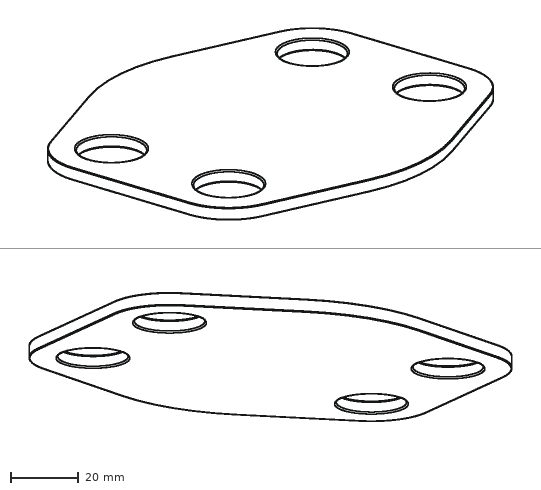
import math

import cadquery as cq

plate_width = 113.7
plate_length = 135.0
plate_thickness = 4.0
hole_spacing_x = 44.5
hole_spacing_y = 96.8
hole_diameter = 21.0
hole_chamfer = 0.5
outline_chamfer = 0.25

hole_radius = hole_diameter / 2
middle_radius = plate_width / 2
corner_x = hole_spacing_x / 2
corner_y = hole_spacing_y / 2
corner_radius = plate_length / 2 - corner_y

corner_distance = math.hypot(corner_x, corner_y)
corner_direction = math.atan2(corner_y, corner_x)
flank_angle = corner_direction - math.acos((middle_radius - corner_radius) / corner_distance)
corner_mid_angle = (flank_angle + math.pi / 2) / 2


def arc_point(center_x, center_y, radius, angle):
    """Point on an arc at the given angle from +X."""
    return (center_x + radius * math.cos(angle), center_y + radius * math.sin(angle))


def middle_point(angle):
    """Point on the middle arc, centred on the origin."""
    return arc_point(0, 0, middle_radius, angle)


def corner_point(angle):
    """Point on the corner arc around the +X +Y hole."""
    return arc_point(corner_x, corner_y, corner_radius, angle)


def make_plate():
    """Plate from a quarter outline mirrored about both axes, chamfered top and bottom."""
    quarter = (
        cq.Workplane("XY")
        .moveTo(0, plate_length / 2)
        .lineTo(corner_x, plate_length / 2)
        .threePointArc(corner_point(corner_mid_angle), corner_point(flank_angle))
        .lineTo(*middle_point(flank_angle))
        .threePointArc(middle_point(flank_angle / 2), middle_point(0))
    )
    plate = quarter.mirrorX().mirrorY().extrude(plate_thickness)
    return plate.faces("<Z or >Z").edges().chamfer(outline_chamfer)


def make_hole_cutter():
    """Cutter for one through hole, flared into a 45 degree chamfer at both ends."""
    rim_radius = hole_radius + hole_chamfer
    return (
        cq.Workplane("XZ")
        .moveTo(0, 0)
        .lineTo(rim_radius, 0)
        .lineTo(hole_radius, hole_chamfer)
        .lineTo(hole_radius, plate_thickness - hole_chamfer)
        .lineTo(rim_radius, plate_thickness)
        .lineTo(0, plate_thickness)
        .close()
        .revolve(360, (0, 0), (0, 1))
    )


def drill_holes(plate):
    """Four holes, one concentric with each rounded corner."""
    cutter = make_hole_cutter()
    for side_x in (-1, 1):
        for side_y in (-1, 1):
            plate = plate.cut(cutter.translate((side_x * corner_x, side_y * corner_y, 0)))
    return plate


result = drill_holes(make_plate())